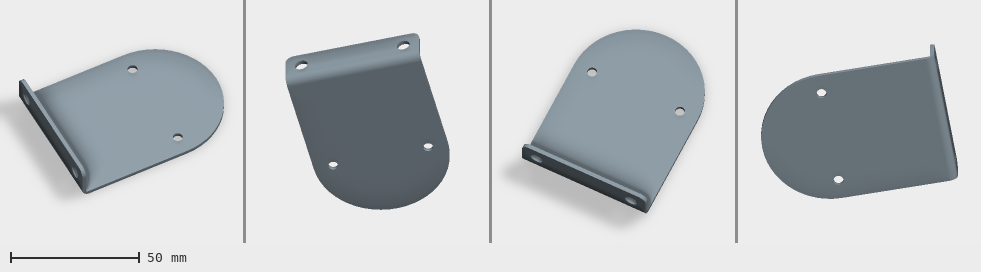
import cadquery as cq

width = 53.6
length = 72.55
height = 14.3
thickness = 1.6
outer_bend_radius = 3.2
inner_bend_radius = 0.7
flange_corner_radius = 3.2

plate_hole_diameter = 3.85
plate_hole_spacing = 38.1
flange_hole_diameter = 5.1
flange_hole_spacing = 40.9
flange_hole_height = 8.0

end_radius = width / 2
front_y = end_radius - length


def bent_sheet():
    """L-shaped profile with a rounded bend, extruded across the width."""
    inner_y = front_y + thickness
    sheet = (
        cq.Workplane("YZ")
        .moveTo(front_y, 0)
        .lineTo(end_radius, 0)
        .lineTo(end_radius, thickness)
        .lineTo(inner_y, thickness)
        .lineTo(inner_y, height)
        .lineTo(front_y, height)
        .close()
        .extrude(width / 2, both=True)
    )
    outer_corner = cq.NearestToPointSelector((0, front_y, 0))
    inner_corner = cq.NearestToPointSelector((0, inner_y, thickness))
    sheet = sheet.edges("|X").edges(outer_corner).fillet(outer_bend_radius)
    return sheet.edges("|X").edges(inner_corner).fillet(inner_bend_radius)


def plan_outline():
    """Plan shape: straight sides closed by a semicircular end."""
    return (
        cq.Workplane("XY")
        .moveTo(-end_radius, front_y)
        .lineTo(end_radius, front_y)
        .lineTo(end_radius, 0)
        .threePointArc((0, end_radius), (-end_radius, 0))
        .close()
        .extrude(height)
    )


def plate_holes():
    """Pair of holes level with the centre of the rounded end."""
    half_spacing = plate_hole_spacing / 2
    return (
        cq.Workplane("XY")
        .pushPoints([(-half_spacing, 0), (half_spacing, 0)])
        .circle(plate_hole_diameter / 2)
        .extrude(thickness)
    )


def flange_holes():
    """Pair of holes through the upright flange."""
    half_spacing = flange_hole_spacing / 2
    return (
        cq.Workplane("XZ", origin=(0, front_y, 0))
        .pushPoints([(-half_spacing, flange_hole_height), (half_spacing, flange_hole_height)])
        .circle(flange_hole_diameter / 2)
        .extrude(-thickness)
    )


bracket = bent_sheet().intersect(plan_outline())

bracket = bracket.edges("|Y and >Z").fillet(flange_corner_radius)

result = bracket.cut(plate_holes()).cut(flange_holes())